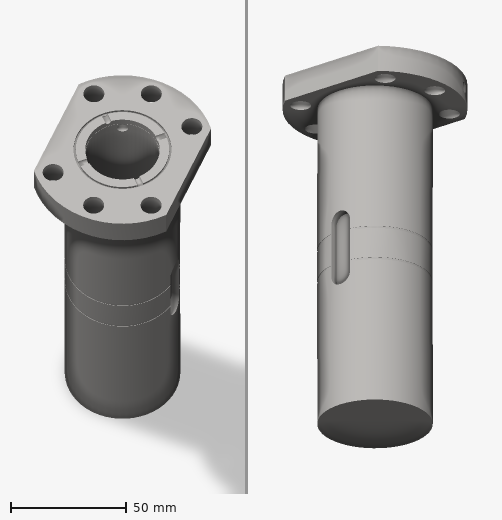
import cadquery as cq
import math

total_length = 162.0
body_diameter = 50.0
flange_diameter = 80.0
flange_width = 62.0
flange_thickness = 12.0
flange_bottom = total_length - flange_thickness

bolt_circle_diameter = 65.0
bolt_hole_diameter = 9.0
bolt_hole_angles = (45, 90, 135, 225, 270, 315)

bore_diameter = 32.0
bore_mouth_diameter = 32.2
bore_mouth_depth = 3.0
bore_floor = 12.0

seal_gap_outer_diameter = 42.5
seal_gap_inner_diameter = 40.5
seal_gap_depth = 1.0
notch_diameter = 2.8
notch_angles = (45, 135, 225, 315)

oil_hole_diameter = 4.9
oil_hole_angle = 112.5

groove_spacing = 14.9
groove_width = 1.0
groove_depth = 0.2
body_middle = flange_bottom / 2

key_length = 35.0
key_width = 10.0
key_depth = 4.0


def cylinder(diameter, bottom, height):
    """Cylinder on the Z axis."""
    return cq.Workplane("XY").workplane(offset=bottom).circle(diameter / 2).extrude(height)


def ring(outer_diameter, inner_diameter, bottom, height):
    """Ring around the Z axis."""
    return cylinder(outer_diameter, bottom, height).cut(cylinder(inner_diameter, bottom, height))


def radial_rod(diameter, inner_radius, outer_radius, angle, height):
    """Horizontal rod pointing away from the Z axis at the given angle."""
    direction = cq.Vector(math.cos(math.radians(angle)), math.sin(math.radians(angle)), 0)
    start = direction * inner_radius + cq.Vector(0, 0, height)
    return cq.Solid.makeCylinder(diameter / 2, outer_radius - inner_radius, start, direction)


def make_flange():
    flats = cq.Workplane("XY").box(
        flange_width, flange_diameter, total_length, centered=(True, True, False)
    )
    flange = cylinder(flange_diameter, flange_bottom, flange_thickness).intersect(flats)
    bolt_holes = (
        cq.Workplane("XY")
        .workplane(offset=flange_bottom)
        .pushPoints([
            (
                bolt_circle_diameter / 2 * math.cos(math.radians(angle)),
                bolt_circle_diameter / 2 * math.sin(math.radians(angle)),
            )
            for angle in bolt_hole_angles
        ])
        .circle(bolt_hole_diameter / 2)
        .extrude(flange_thickness)
    )
    return flange.cut(bolt_holes)


def make_keyway():
    return (
        cq.Workplane("YZ", origin=(body_diameter / 2 - key_depth, 0, body_middle))
        .slot2D(key_length, key_width, 90)
        .extrude(2 * key_depth)
    )


result = cylinder(body_diameter, 0, total_length).union(make_flange())

result = result.cut(cylinder(bore_diameter, bore_floor, total_length - bore_floor))
result = result.cut(cylinder(bore_mouth_diameter, total_length - bore_mouth_depth, bore_mouth_depth))

result = result.cut(
    ring(seal_gap_outer_diameter, seal_gap_inner_diameter, total_length - seal_gap_depth, seal_gap_depth)
)
for notch_angle in notch_angles:
    result = result.cut(
        radial_rod(notch_diameter, 0, seal_gap_inner_diameter / 2, notch_angle, total_length)
    )

result = result.cut(
    radial_rod(
        oil_hole_diameter,
        0,
        flange_diameter / 2,
        oil_hole_angle,
        flange_bottom + flange_thickness / 2,
    )
)

for side in (-1, 1):
    groove_bottom = body_middle + side * groove_spacing / 2 - groove_width / 2
    groove = ring(body_diameter, body_diameter - 2 * groove_depth, groove_bottom, groove_width)
    result = result.cut(groove)

result = result.cut(make_keyway())